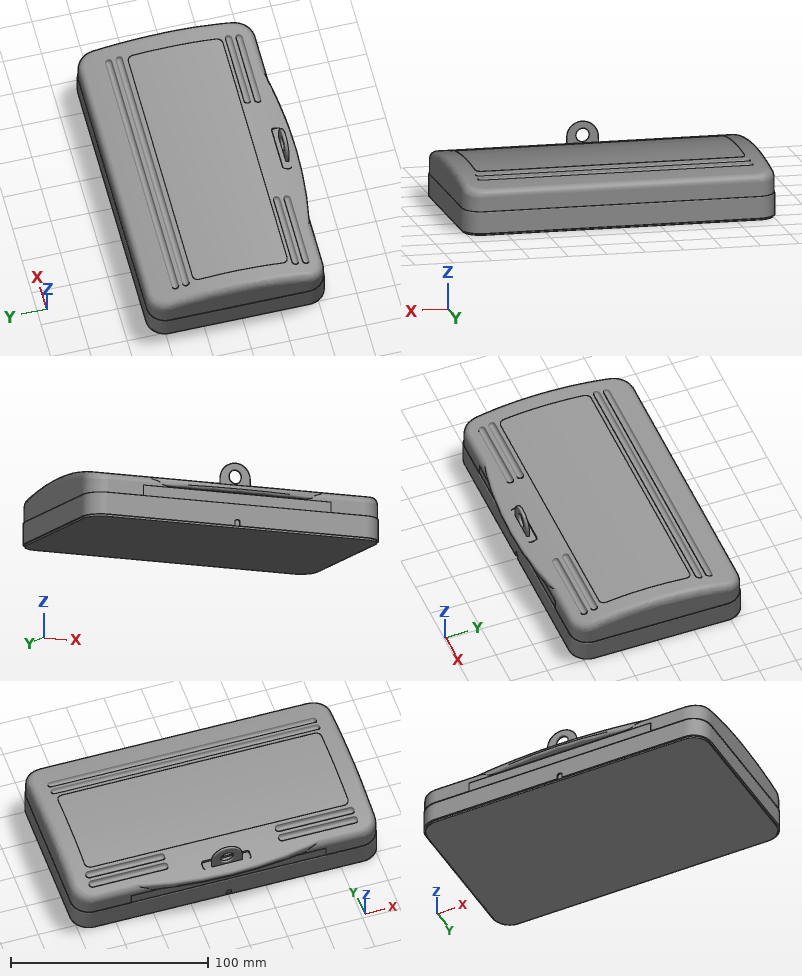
import cadquery as cq
import math

width = 163.02
depth = 93.0
corner_radius = 10.0
base_height = 12.4
foot_inset = 0.9
foot_height = 1.0
base_rim_fillet = 0.7

lid_inset = 0.3
lid_draft = 0.6
lid_edge_fillet = 4.0

crown_height = 28.3
rear_crown_radius = 200.0
front_crown_radius = 155.0
crown_joint_y = -12.3
crown_overhang = 5.0

lip_reach = 3.33
lip_half_width = 51.0
lip_root_y = -44.3
lip_underside_z = 18.1
lip_root_depth = 4.0
lip_top_fillet = 1.5
lip_bottom_fillet = 1.3

label_width = 140.4
label_rear_y = 21.1
label_front_y = -28.4
label_corner_radius = 3.0
label_rise = 0.1

groove_radius = 1.8
groove_half_span = 71.6
short_groove_length = 42.2
rear_groove_ys = (30.7, 25.2)
front_groove_ys = (-32.1, -37.6)
groove_mouth_fillet = 0.25
mouth_margin = 0.4

pocket_width = 25.4
pocket_rear_y = -40.0
pocket_front_y = -44.6
pocket_corner_radius = 1.2
pocket_floor_z = 22.5
tab_top_z = 33.985
tab_radius = 8.2
tab_thickness = 1.6
tab_tilt = 2.0
tab_foot_y = -43.3
tab_embed = 1.0
tab_hole_diameter = 7.0
tab_hole_z = 26.9
tab_edge_fillet = 0.4

grip_width = 103.8
grip_top_z = 17.8
grip_depth = 0.2
notch_width = 2.8
notch_bottom_z = 1.0
notch_top_z = 4.3
notch_depth = 0.8

clearance = 1.0

front_y = -depth / 2


def rear_crown_z(y):
    """Height of the rear crown arc, whose top is at Y = 0."""
    return crown_height - rear_crown_radius + math.sqrt(rear_crown_radius**2 - y**2)


def front_crown_z(y):
    """Height of the front crown arc, tangent to the rear arc at the joint."""
    ratio = front_crown_radius / rear_crown_radius
    center_y = crown_joint_y * (1 - ratio)
    rear_center_z = crown_height - rear_crown_radius
    center_z = rear_center_z + (rear_crown_z(crown_joint_y) - rear_center_z) * (1 - ratio)
    return center_z + math.sqrt(front_crown_radius**2 - (y - center_y) ** 2)


def crown_z(y):
    return rear_crown_z(y) if y >= crown_joint_y else front_crown_z(y)


def crown_body(bottom_z, drop=0.0):
    """Everything between bottom_z and the crown surface lowered by drop."""
    rear = depth / 2 + crown_overhang
    front = front_y - crown_overhang
    rear_mid = (rear + crown_joint_y) / 2
    front_mid = (front + crown_joint_y) / 2
    return (
        cq.Workplane("YZ")
        .moveTo(front, bottom_z)
        .lineTo(rear, bottom_z)
        .lineTo(rear, crown_z(rear) - drop)
        .threePointArc(
            (rear_mid, crown_z(rear_mid) - drop),
            (crown_joint_y, crown_z(crown_joint_y) - drop),
        )
        .threePointArc((front_mid, crown_z(front_mid) - drop), (front, crown_z(front) - drop))
        .close()
        .extrude(width / 2, both=True)
    )


def rounded_block(size_x, size_y, height, radius):
    """Upright block on Z = 0, centred in X and Y, with rounded vertical edges."""
    block = cq.Workplane("XY").rect(size_x, size_y).extrude(height)
    return block.edges("|Z").fillet(radius)


def base_tray():
    foot = rounded_block(
        width - 2 * foot_inset,
        depth - 2 * foot_inset,
        base_height,
        corner_radius - foot_inset,
    )
    wall = rounded_block(width, depth, base_height - foot_height, corner_radius)
    wall = wall.faces(">Z").edges().fillet(base_rim_fillet)
    return wall.translate((0, 0, foot_height)).union(foot)


def lid():
    outline = cq.Sketch().rect(width - 2 * lid_inset, depth - 2 * lid_inset)
    outline = outline.vertices().fillet(corner_radius)
    walls = (
        cq.Workplane("XY", origin=(0, 0, base_height))
        .placeSketch(outline)
        .extrude(crown_height - base_height + clearance, taper=lid_draft)
    )
    shell = walls.intersect(crown_body(base_height))
    above_foot = cq.selectors.BoxSelector(
        (-width, -depth, base_height + clearance),
        (width, depth, crown_height + clearance),
        boundingbox=True,
    )
    seam = cq.selectors.BoxSelector(
        (-clearance, crown_joint_y - clearance, base_height + clearance),
        (clearance, crown_joint_y + clearance, crown_height + clearance),
    )
    return shell.edges(above_foot - seam).fillet(lid_edge_fillet)


def lip():
    blank = (
        cq.Workplane("XY", origin=(0, 0, lip_underside_z))
        .moveTo(-lip_half_width, lip_root_y)
        .threePointArc((0, front_y - lip_reach), (lip_half_width, lip_root_y))
        .lineTo(lip_half_width, lip_root_y + lip_root_depth)
        .lineTo(-lip_half_width, lip_root_y + lip_root_depth)
        .close()
        .extrude(crown_height - lip_underside_z)
        .intersect(crown_body(lip_underside_z))
    )
    mid_z = (lip_underside_z + crown_z(front_y)) / 2
    lower_nose = cq.selectors.BoxSelector(
        (-clearance, front_y - 2 * lip_reach, 0), (clearance, lip_root_y, mid_z)
    )
    upper_nose = cq.selectors.BoxSelector(
        (-clearance, front_y - 2 * lip_reach, mid_z), (clearance, lip_root_y, crown_height)
    )
    blank = blank.edges(upper_nose).fillet(lip_top_fillet)
    return blank.edges(lower_nose).fillet(lip_bottom_fillet)


def label_pad():
    mid_y = (label_rear_y + label_front_y) / 2
    pad = rounded_block(
        label_width, label_rear_y - label_front_y, crown_height + clearance, label_corner_radius
    )
    pad = pad.translate((0, mid_y, 0)).intersect(crown_body(base_height, -label_rise))
    return pad.cut(crown_body(0, label_rise))


def groove(start_x, end_x, y):
    """Cylinder with ball ends, its axis lying on the crown surface."""
    return (
        cq.Workplane("XY", origin=(0, y, crown_z(y)))
        .moveTo(start_x, 0)
        .radiusArc((start_x + groove_radius, groove_radius), groove_radius)
        .lineTo(end_x - groove_radius, groove_radius)
        .radiusArc((end_x, 0), groove_radius)
        .close()
        .revolve(360, (0, 0), (1, 0))
    )


def cut_groove(body, start_x, end_x, y):
    """Cut one groove and round its mouth."""
    body = body.cut(groove(start_x, end_x, y), clean=False)
    reach = groove_radius + mouth_margin
    mouth = cq.selectors.BoxSelector(
        (start_x - mouth_margin, y - reach, crown_z(y) - groove_radius / 2),
        (end_x + mouth_margin, y + reach, crown_z(y) + groove_radius / 2),
        boundingbox=True,
    )
    return body.edges(mouth).fillet(groove_mouth_fillet)


def tab_pocket():
    pocket = rounded_block(
        pocket_width, pocket_rear_y - pocket_front_y, crown_height, pocket_corner_radius
    )
    return pocket.translate((0, (pocket_rear_y + pocket_front_y) / 2, pocket_floor_z))


def hanging_tab():
    foot_z = pocket_floor_z - tab_embed
    crown_center_z = tab_top_z - tab_radius
    plate = (
        cq.Workplane("XZ", origin=(0, tab_foot_y, 0))
        .moveTo(-tab_radius, foot_z)
        .lineTo(-tab_radius, crown_center_z)
        .threePointArc((0, tab_top_z), (tab_radius, crown_center_z))
        .lineTo(tab_radius, foot_z)
        .close()
        .extrude(tab_thickness / 2, both=True)
    )
    hole = (
        cq.Workplane("XZ", origin=(0, tab_foot_y, tab_hole_z))
        .circle(tab_hole_diameter / 2)
        .extrude(tab_thickness, both=True)
    )
    pivot = (0, tab_foot_y, pocket_floor_z)
    tab = plate.cut(hole).faces("<Y or >Y").edges("not(<Z)").fillet(tab_edge_fillet)
    return tab.rotate(pivot, (1, tab_foot_y, pocket_floor_z), tab_tilt)


def grip_recess():
    wall_y = front_y + lid_inset
    return cq.Workplane("XY").box(
        grip_width, 2 * grip_depth, grip_top_z - base_height, centered=(True, True, False)
    ).translate((0, wall_y, base_height))


def notch():
    radius = notch_width / 2
    return (
        cq.Workplane("XZ", origin=(0, front_y, 0))
        .moveTo(-radius, notch_bottom_z)
        .lineTo(-radius, notch_top_z - radius)
        .threePointArc((0, notch_top_z), (radius, notch_top_z - radius))
        .lineTo(radius, notch_bottom_z)
        .close()
        .extrude(notch_depth, both=True)
    )


case = lid().cut(grip_recess())
for groove_y in rear_groove_ys:
    case = cut_groove(case, -groove_half_span, groove_half_span, groove_y)
short_groove_inner_x = groove_half_span - short_groove_length
for groove_y in front_groove_ys:
    case = cut_groove(case, -groove_half_span, -short_groove_inner_x, groove_y)
    case = cut_groove(case, short_groove_inner_x, groove_half_span, groove_y)
case = case.union(lip()).cut(tab_pocket()).union(hanging_tab()).union(label_pad())
result = base_tray().cut(notch()).union(case)